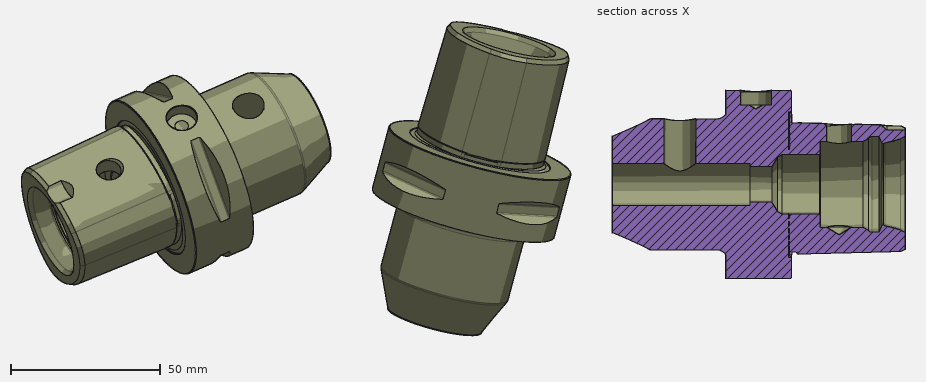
import cadquery as cq
import math


shank_end = 0.0
taper_end = 35.9
flange_front = 38.0
flange_back = 60.1
nose_start = 85.1
nose_end = 98.0
grip_y = 50.0

flange_diameter = 63.0
flange_radius = flange_diameter / 2
flange_chamfer = 0.3
body_diameter = 44.0
body_radius = body_diameter / 2
body_root_length = 2.9
body_root_rise = 1.6
nose_end_radius = 16.3
nose_blend_radius = 1.6
nose_land = 0.3

lobe_count = 3
first_lobe_direction = 30.0
lobe_mean_diameter = 44.0
lobe_mean_radius = lobe_mean_diameter / 2
lobe_eccentricity = 1.4
lobe_half_angle = 28.0
radius_taper = 1 / 40
tip_chamfer_length = 1.5
tip_chamfer_depth = 0.83
points_per_face = 12

neck_inset = 0.1
neck_inset_ramp = 0.3
neck_radius = 22.6
neck_ramp = 0.7
shoulder_y = 37.9
relief_radius = 24.3
relief_round = 1.2

keyway_radius = 6.5
keyway_floor = 18.2
keyway_length = 6.2
keyway_end_half_angle = 40.0

cross_hole_y = 22.1
cross_hole_radius = 4.1
cross_sink_y = 22.4
cross_sink_radius = 5.1
cross_sink_top = 20.8

mouth_radius = 16.1
mouth_cone_radius = 15.2
mouth_chamfer_length = 1.6
lip_entry_radius = 13.8
lip_entry = 6.8
lip_radius = 13.5
lip_start = 7.3
lip_end = 7.8
groove_radius = 15.9
groove_front = 8.8
groove_back = 11.2
groove_wall = 12.3
groove_wall_radius = 15.3
draw_bore_radius = 14.3
draw_bore_start = 14.1
draw_bore_end = 28.4
screw_bore_radius = 9.9
screw_bore_chamfer = 0.3
screw_bore_end = 41.2
funnel_radius = 9.0
funnel_start = 42.7
passage_radius = 5.9
tool_bore_radius = 7.0
tool_bore_start = 51.9

clamp_y = 75.4
clamp_radius = 5.3

pocket_radius = 5.1
pocket_chamfer = 0.15
pocket_floor = 26.6
pocket_dimple_radius = 2.3

groove_floor_distance = 27.8
groove_floor_width = 3.4
groove_top_width = 7.8
groove_floor_fillet = 0.5
groove_angles = (45, 135, 225, 315)

drill_half_angle = 59.0
selection_margin = 0.1


def revolve_about_axis(profile):
    """Solid of revolution about Y from a closed (radius, y) profile."""
    return profile.close().revolve(360, (0, 0), (0, 1))


def vertical_cone(y, bottom, bottom_radius, top, top_radius):
    """Upright frustum on the Y axis line; with zero bottom radius it ends in a point."""
    return cq.Workplane(
        cq.Solid.makeCone(
            bottom_radius, top_radius, top - bottom,
            pnt=cq.Vector(0, y, bottom), dir=cq.Vector(0, 0, 1),
        )
    )


def vertical_cylinder(y, radius, bottom, top):
    """Upright cylinder on the Y axis line."""
    return cq.Workplane("XY", origin=(0, y, bottom)).circle(radius).extrude(top - bottom)


def vertical_drill(y, radius, depth_z, top):
    """Upright cylinder that ends at depth_z in a drill point."""
    point_length = radius / math.tan(math.radians(drill_half_angle))
    barrel = vertical_cylinder(y, radius, depth_z, top)
    return barrel.union(vertical_cone(y, depth_z - point_length, 0, depth_z, radius))


def lobe_wire(y, mean_radius):
    """Three-lobed outline with lobes at 30, 150 and 270 degrees from +X.

    Each tangent line lies at mean radius + eccentricity * cos(swing) from the axis.
    """

    def point(angle):
        swing = lobe_count * (angle - math.radians(first_lobe_direction))
        reach = mean_radius + lobe_eccentricity * math.cos(swing)
        slide = -lobe_count * lobe_eccentricity * math.sin(swing)
        return (
            reach * math.cos(angle) - slide * math.sin(angle),
            reach * math.sin(angle) + slide * math.cos(angle),
        )

    outline = cq.Workplane("XZ", origin=(0, y, 0))
    lobe_pitch = 360 / lobe_count
    for lobe in range(lobe_count):
        lobe_direction = first_lobe_direction + lobe * lobe_pitch
        lobe_start = math.radians(lobe_direction - lobe_half_angle)
        lobe_stop = math.radians(lobe_direction + lobe_half_angle)
        next_lobe = lobe_start + math.radians(lobe_pitch)
        outline = outline.parametricCurve(point, points_per_face, lobe_start, lobe_stop, makeWire=False)
        outline = outline.parametricCurve(point, points_per_face, lobe_stop, next_lobe, makeWire=False)
    return outline.wire().val()


def lobe_loft(start, start_radius, end, end_radius):
    wires = [lobe_wire(start, start_radius), lobe_wire(end, end_radius)]
    return cq.Workplane(cq.Solid.makeLoft(wires, True))


def make_body():
    """Flange, clamping body and conical nose, with the undercut in the flange face."""
    relief_overrun = relief_radius - neck_radius - relief_round
    relief_wall_depth = math.sqrt(relief_round**2 - relief_overrun**2)
    root_end = flange_back + body_root_length
    root_radius = (body_root_length**2 + body_root_rise**2) / (2 * body_root_rise)
    body = revolve_about_axis(
        cq.Workplane("XY")
        .moveTo(0, shoulder_y)
        .lineTo(neck_radius, shoulder_y)
        .radiusArc((relief_radius, shoulder_y + relief_wall_depth), -relief_round)
        .lineTo(relief_radius, flange_front)
        .lineTo(flange_radius - flange_chamfer, flange_front)
        .lineTo(flange_radius, flange_front + flange_chamfer)
        .lineTo(flange_radius, flange_back)
        .lineTo(body_radius + body_root_rise, flange_back)
        .radiusArc((body_radius, root_end), root_radius)
        .lineTo(body_radius, nose_start)
        .lineTo(nose_end_radius, nose_end - nose_land)
        .lineTo(nose_end_radius, nose_end)
        .lineTo(0, nose_end)
    )
    nose_edge = cq.selectors.BoxSelector(
        (-flange_radius, nose_start - selection_margin, -flange_radius),
        (flange_radius, nose_start + selection_margin, flange_radius),
    )
    return body.edges(nose_edge).fillet(nose_blend_radius)


def make_shank():
    """Tapered lobed shank with a chamfered tip and a turned neck."""
    chamfer_radius = lobe_mean_radius - radius_taper * (taper_end - tip_chamfer_length)
    tip = lobe_loft(shank_end, chamfer_radius - tip_chamfer_depth, tip_chamfer_length, chamfer_radius)
    taper = lobe_loft(tip_chamfer_length, chamfer_radius, taper_end, lobe_mean_radius)
    neck_lobe_radius = lobe_mean_radius - neck_inset
    neck_start = taper_end + neck_inset_ramp
    neck = lobe_loft(taper_end, lobe_mean_radius, neck_start, neck_lobe_radius)
    neck = neck.union(lobe_loft(neck_start, neck_lobe_radius, shoulder_y, neck_lobe_radius))
    turning = revolve_about_axis(
        cq.Workplane("XY")
        .moveTo(0, taper_end)
        .lineTo(neck_radius + neck_ramp, taper_end)
        .lineTo(neck_radius, taper_end + neck_ramp)
        .lineTo(neck_radius, shoulder_y)
        .lineTo(0, shoulder_y)
    )
    return tip.union(taper).union(neck.intersect(turning))


def make_bores():
    """Stepped bore that runs through the whole part."""
    funnel_end = funnel_start + (funnel_radius - passage_radius) / math.tan(math.radians(drill_half_angle))
    groove_arc_radius = groove_wall - groove_back
    return revolve_about_axis(
        cq.Workplane("XY")
        .moveTo(0, shank_end)
        .lineTo(mouth_radius, shank_end)
        .lineTo(mouth_cone_radius, mouth_chamfer_length)
        .lineTo(lip_entry_radius, lip_entry)
        .lineTo(lip_radius, lip_start)
        .lineTo(lip_radius, lip_end)
        .lineTo(groove_radius, groove_front)
        .lineTo(groove_radius, groove_back)
        .radiusArc((groove_wall_radius, groove_wall), -groove_arc_radius)
        .lineTo(draw_bore_radius, draw_bore_start)
        .lineTo(draw_bore_radius, draw_bore_end)
        .lineTo(screw_bore_radius + screw_bore_chamfer, draw_bore_end)
        .lineTo(screw_bore_radius, draw_bore_end + screw_bore_chamfer)
        .lineTo(screw_bore_radius, screw_bore_end)
        .lineTo(funnel_radius, funnel_start)
        .lineTo(passage_radius, funnel_end)
        .lineTo(passage_radius, tool_bore_start)
        .lineTo(tool_bore_radius, tool_bore_start)
        .lineTo(tool_bore_radius, nose_end)
        .lineTo(0, nose_end)
    )


def make_keyway():
    """Round-bottomed keyway with a conical run-out."""
    cone_length = keyway_radius / math.tan(math.radians(keyway_end_half_angle))
    return (
        cq.Workplane("XY", origin=(0, 0, keyway_floor + keyway_radius))
        .lineTo(keyway_radius, shank_end)
        .lineTo(keyway_radius, keyway_length)
        .lineTo(0, keyway_length + cone_length)
        .close()
        .revolve(360, (0, 0), (0, 1))
    )


def make_cross_hole():
    """Hole through the shank wall whose drill point bites into the far side of the bore."""
    hole = vertical_drill(cross_hole_y, cross_hole_radius, -draw_bore_radius, flange_radius)
    sink_bottom_radius = cross_hole_radius - (cross_sink_y - cross_hole_y)
    sink_bottom = cross_sink_top - (cross_sink_radius - sink_bottom_radius)
    sink = vertical_cone(cross_sink_y, sink_bottom, sink_bottom_radius, cross_sink_top, cross_sink_radius)
    return hole.union(sink)


def make_clamp_hole():
    """Radial screw hole that opens into the tool bore."""
    return vertical_cylinder(clamp_y, clamp_radius, 0, body_radius)


def make_pocket():
    """Flat-bottomed pocket in the flange with a drill-point dimple."""
    pocket = vertical_cylinder(grip_y, pocket_radius, pocket_floor, flange_radius)
    rim_bottom = math.sqrt(flange_radius**2 - pocket_radius**2) - pocket_chamfer
    rim = vertical_cylinder(grip_y, pocket_radius + pocket_chamfer, rim_bottom, flange_radius)
    dimple_depth = pocket_dimple_radius / math.tan(math.radians(drill_half_angle))
    dimple = vertical_cone(grip_y, pocket_floor - dimple_depth, 0, pocket_floor, pocket_dimple_radius)
    return pocket.union(rim).union(dimple)


def make_gripper_groove(angle):
    """Straight groove with sloping walls across the flange rim, facing the given angle from +X."""
    return (
        cq.Workplane("XY", origin=(0, grip_y, 0))
        .moveTo(groove_floor_distance, -groove_floor_width / 2)
        .lineTo(groove_floor_distance, groove_floor_width / 2)
        .lineTo(flange_radius, groove_top_width / 2)
        .lineTo(flange_radius, -groove_top_width / 2)
        .close()
        .extrude(flange_radius, both=True)
        .edges("|Z")
        .edges("<X")
        .fillet(groove_floor_fillet)
        .rotate((0, 0, 0), (0, 1, 0), angle)
    )


result = make_body().union(make_shank())
result = result.cut(make_bores()).cut(make_keyway()).cut(make_cross_hole())
result = result.cut(make_clamp_hole()).cut(make_pocket())
for groove_angle in groove_angles:
    result = result.cut(make_gripper_groove(groove_angle))